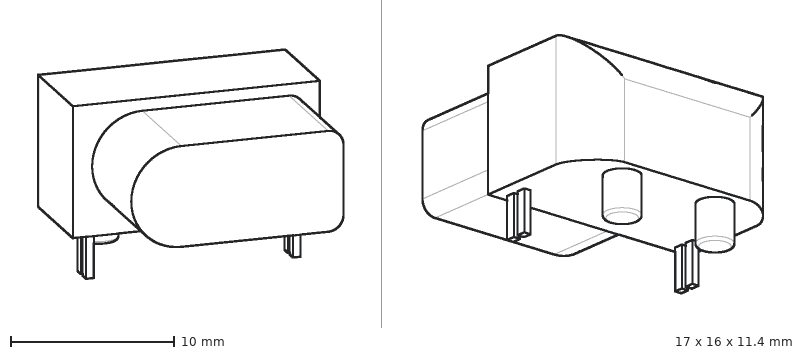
import cadquery as cq


housing_length = 9.5
housing_width = 16.0
housing_height = 8.5
rounding = 3.0
rounding_handle = 0.37 * rounding

plug_length = 7.5
plug_height = 6.5
plug_bottom = 1.25
plug_radius = plug_height / 2
plug_y_min = -6.75
plug_width = 13.75
plug_y_max = plug_y_min + plug_width
plug_small_radius = 1.0

peg_diameter = 2.4
peg_length = 2.8
peg_tip_radius = 0.2
peg_x = 1.8
peg_spacing = 7.4

pin_length = 2.9
pin_size_x = 0.65
pin_size_y = 0.5
pin_first_x = 7.6
pin_pitch = 1.0
pin_row_spacing = 13.4


def add_rounding(sketch, corner, start_direction, end_direction):
    """Continue an outline with a curve that rounds off a square corner.

    The directions point from the corner toward the start and the end of the curve.
    """
    def along(direction, distance):
        return (corner[0] + direction[0] * distance, corner[1] + direction[1] * distance)

    handle_distance = rounding - rounding_handle
    return sketch.bezier([
        along(start_direction, rounding),
        along(start_direction, handle_distance),
        along(end_direction, handle_distance),
        along(end_direction, rounding),
    ])


def make_housing_block():
    """Block whose upper and side back edges are rounded and meet in mitres."""
    half_width = housing_width / 2

    side_outline = cq.Workplane("XZ", origin=(0, half_width, 0)).lineTo(0, housing_height - rounding)
    side_outline = add_rounding(side_outline, (0, housing_height), (0, -1), (1, 0))
    side_shape = (
        side_outline
        .lineTo(housing_length, housing_height)
        .lineTo(housing_length, 0)
        .close()
        .extrude(housing_width)
    )

    plan_outline = cq.Workplane("XY").moveTo(0, -half_width + rounding).lineTo(0, half_width - rounding)
    plan_outline = add_rounding(plan_outline, (0, half_width), (0, -1), (1, 0))
    plan_outline = (
        plan_outline
        .lineTo(housing_length, half_width)
        .lineTo(housing_length, -half_width)
        .lineTo(rounding, -half_width)
    )
    plan_outline = add_rounding(plan_outline, (0, -half_width), (1, 0), (0, 1))
    plan_shape = plan_outline.close().extrude(housing_height)

    return side_shape.intersect(plan_shape)


def make_plug():
    """Nose that projects from the +X face of the housing block."""
    plug_top = plug_bottom + plug_height
    half_round_y = plug_y_min + plug_radius
    return (
        cq.Workplane("YZ", origin=(housing_length, 0, 0))
        .moveTo(half_round_y, plug_bottom)
        .lineTo(plug_y_max, plug_bottom)
        .lineTo(plug_y_max, plug_top)
        .lineTo(half_round_y, plug_top)
        .threePointArc((plug_y_min, plug_bottom + plug_radius), (half_round_y, plug_bottom))
        .close()
        .extrude(plug_length)
        .edges("|X and >Y")
        .fillet(plug_small_radius)
    )


def make_peg(y):
    """Round locating peg below the housing with a rounded tip."""
    return (
        cq.Workplane("XY", origin=(peg_x, y, 0))
        .circle(peg_diameter / 2)
        .extrude(-peg_length)
        .faces("<Z")
        .fillet(peg_tip_radius)
    )


def make_pin(x, y):
    """Rectangular contact pin below the housing."""
    return (
        cq.Workplane("XY", origin=(x, y, 0))
        .rect(pin_size_x, pin_size_y)
        .extrude(-pin_length)
    )


housing = make_housing_block().union(make_plug())

pegs = []
pins = []
for side in (-1, 1):
    pegs.append(make_peg(side * peg_spacing / 2))
    for index in range(2):
        pins.append(make_pin(pin_first_x + index * pin_pitch, side * pin_row_spacing / 2))

result = cq.Compound.makeCompound([
    housing.val(),
    *[peg.val() for peg in pegs],
    *[pin.val() for pin in pins],
])